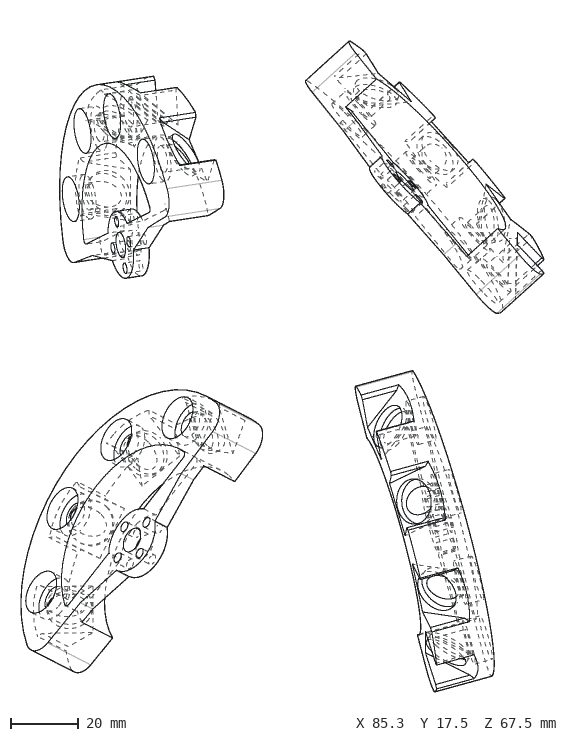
import cadquery as cq
import math

thickness = 17.5
rim_radius = 47.7
opening_radius = 30.25
tilt_angle = 30

hub_radius = 10.0
arm_thickness = 5.0
hub_bore_diameter = 7.5
screw_hole_diameter = 3.1
screw_circle_radius = 7.0
first_screw_angle = 28
screw_count = 4
arm_root_x = 9.6
arm_root_low_z = -3.15
arm_top_z = 5.0
arm_kink_x = 25.0
arm_kink_z = 1.0
sector_edge_slope = 2
sector_end_radius = 6.3
opening_corner_radius = 1.3

station_angles = [60, 100, 140, 180]
station_radius = 38.95
bolt_hole_diameter = 7.9
counterbore_diameter = 13.3
front_counterbore_depth = 5.3
back_counterbore_depth = 2.3
back_counterbore_radius = 40.1
bolt_hole_end_y = 15.3
pocket_width = 16.4
pocket_mouth_chamfer = 1.0
pocket_rim_y = 5.0
pocket_slope = 45

reach = rim_radius + 4.3
slope = math.radians(pocket_slope)


def cylinder(radius, start_y, end_y, x=0, z=0):
    """Cylinder parallel to Y between two Y positions."""
    axis = cq.Vector(0, 1, 0)
    return cq.Workplane(cq.Solid.makeCylinder(radius, end_y - start_y, cq.Vector(x, start_y, z), axis))


def prism(points, depth):
    """Prism of an XZ outline, from the front face towards +Y."""
    return cq.Workplane("XZ").polyline(points).close().extrude(-depth)


def turn(shape, angle):
    """Turn about the hub axis, from +X towards +Z."""
    return shape.rotate((0, 0, 0), (0, 1, 0), -angle)


def polar(radius, angle):
    a = math.radians(angle)
    return radius * math.cos(a), radius * math.sin(a)


def make_sector():
    edge_end_z = arm_kink_z + (reach - arm_kink_x) * math.tan(math.radians(sector_edge_slope))
    right_side = [(arm_root_x, arm_root_low_z), (arm_kink_x, arm_kink_z), (reach, edge_end_z), (reach, reach)]
    left_side = [(-x, z) for x, z in reversed(right_side)]
    sector = prism(right_side + left_side, thickness).intersect(cylinder(rim_radius, 0, thickness))
    sector = sector.edges("|Y").edges("<X or >X").fillet(sector_end_radius)
    return sector.cut(cylinder(opening_radius, arm_thickness, thickness))


def make_opening():
    corners = [(-reach, arm_top_z), (reach, arm_top_z), (reach, reach), (-reach, reach)]
    opening = prism(corners, arm_thickness).intersect(cylinder(opening_radius, 0, arm_thickness))
    return opening.edges("|Y").edges("<X or >X").fillet(opening_corner_radius)


def make_pocket():
    """Chamfer-mouthed pocket on +X whose floor rises from the rim to the back face."""
    half_width = pocket_width / 2
    half_mouth = half_width + pocket_mouth_chamfer
    mouth_x = math.sqrt(rim_radius**2 - half_mouth**2)
    throat_x = mouth_x - pocket_mouth_chamfer
    upper_side = [(0, half_width), (throat_x, half_width), (mouth_x, half_mouth), (reach, half_mouth)]
    lower_side = [(x, -z) for x, z in reversed(upper_side)]
    plan = prism(upper_side + lower_side, thickness)

    inner_x = rim_radius - (thickness - pocket_rim_y) / math.tan(slope)
    outer_y = pocket_rim_y - (reach - rim_radius) * math.tan(slope)
    profile = [(inner_x, thickness), (reach, outer_y), (reach, thickness)]
    wedge = cq.Workplane("XY").polyline(profile).close().extrude(half_mouth, both=True)
    return plan.intersect(wedge)


def make_station():
    """Everything removed at one station, laid out on +X."""
    floor_y = pocket_rim_y + (rim_radius - back_counterbore_radius) * math.tan(slope)
    into_floor = cq.Vector(-math.sin(slope), -math.cos(slope), 0)
    back_counterbore = cq.Solid.makeCylinder(
        counterbore_diameter / 2,
        back_counterbore_depth,
        cq.Vector(back_counterbore_radius, floor_y, 0),
        into_floor,
    )
    front_counterbore = cylinder(counterbore_diameter / 2, 0, front_counterbore_depth, station_radius)
    bolt_hole = cylinder(bolt_hole_diameter / 2, 0, bolt_hole_end_y, station_radius)
    return make_pocket().union(cq.Workplane(back_counterbore)).union(front_counterbore).union(bolt_hole)


result = turn(make_sector().cut(make_opening()), tilt_angle)
result = result.union(cylinder(hub_radius, 0, arm_thickness))
result = result.cut(cylinder(hub_bore_diameter / 2, 0, arm_thickness))

for index in range(screw_count):
    screw_x, screw_z = polar(screw_circle_radius, first_screw_angle + index * 360 / screw_count)
    result = result.cut(cylinder(screw_hole_diameter / 2, 0, arm_thickness, screw_x, screw_z))

station = make_station()
for angle in station_angles:
    result = result.cut(turn(station, angle))